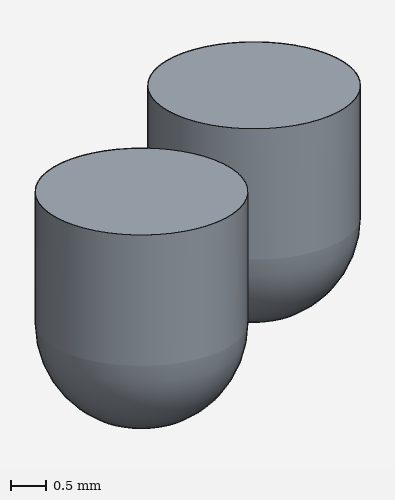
import cadquery as cq

pin_diameter = 3.0
pin_height = 3.53
overall_width = 3.03
overall_length = 7.0

pin_radius = pin_diameter / 2
pin_offset_x = (overall_width - pin_diameter) / 2
pin_offset_y = (overall_length - pin_diameter) / 2


def make_pin(center_x, center_y):
    """Upright round pin with a hemispherical lower end; its lowest point is at Z = 0."""
    dome_reach = pin_radius * 0.5 ** 0.5
    half_profile = (
        cq.Workplane("XZ")
        .threePointArc((dome_reach, pin_radius - dome_reach), (pin_radius, pin_radius))
        .lineTo(pin_radius, pin_height)
        .lineTo(0, pin_height)
        .close()
    )
    return half_profile.revolve(360, (0, 0), (0, 1)).translate((center_x, center_y, 0))


pin_centers = [(pin_offset_x, -pin_offset_y), (-pin_offset_x, pin_offset_y)]

pins = []
for center_x, center_y in pin_centers:
    pins.append(make_pin(center_x, center_y).val())

result = cq.Compound.makeCompound(pins)